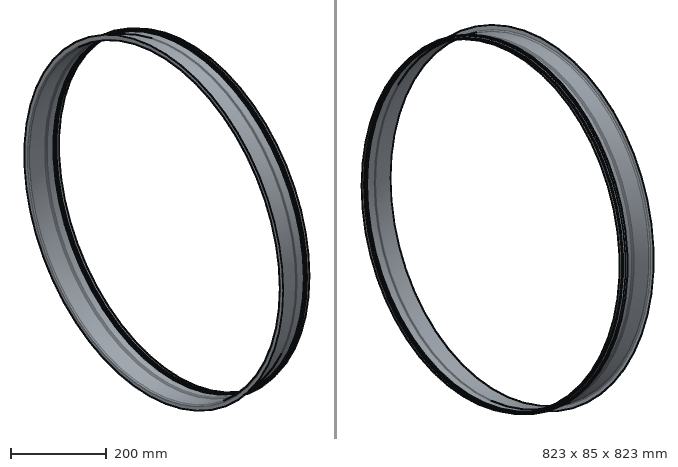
import cadquery as cq

flange_diameter = 823.0
collar_length = 85.0

sheet = 0.5
flange_bend_radius = 2.5
body_radius = 798.0 / 2
spigot_radius = 795.0 / 2
step_start = 45.0
step_end = 50.0
hem_radius = 798.0 / 2
hem_start = 77.0

seal_start = 69.0
seal_band_radius = 797.5 / 2
lip_root_start = 72.0
lip_root_end = 75.0
lip_bend_radius = 804.0 / 2
lip_bend_depth = 72.0
lip_tip_radius = 809.0 / 2
lip_tip_depth = 67.5
lip_thickness = 1.2


def revolve_about_y(profile):
    """Turn a closed (radius, depth) profile about the Y axis, centred on the depth."""
    ring = profile.close().revolve(360, (0, 0, 0), (0, 1, 0))
    return ring.translate((0, -collar_length / 2, 0))


def make_collar():
    """Flange, wide tube, S-shaped step, narrow tube and rim folded back outwards."""
    flange_radius = flange_diameter / 2
    bore_radius = spigot_radius - sheet
    inner_body_radius = body_radius - sheet
    bend_centre_radius = body_radius + flange_bend_radius
    bend_centre_depth = sheet + flange_bend_radius
    inner_bend_radius = flange_bend_radius + sheet
    diagonal = 0.5 ** 0.5
    fold_width = hem_radius - bore_radius
    fold_radius = fold_width / 2
    fold_centre_radius = bore_radius + fold_radius
    fold_depth = collar_length - fold_radius
    inner_fold_radius = fold_radius - sheet

    step_middle = (step_start + step_end) / 2
    outer_step_radius = (body_radius + spigot_radius) / 2
    inner_step_radius = outer_step_radius - sheet

    profile = (
        cq.Workplane("XY")
        .moveTo(flange_radius, 0)
        .lineTo(flange_radius, sheet)
        .lineTo(bend_centre_radius, sheet)
        .threePointArc(
            (bend_centre_radius - flange_bend_radius * diagonal,
             bend_centre_depth - flange_bend_radius * diagonal),
            (body_radius, bend_centre_depth),
        )
        .lineTo(body_radius, step_start)
        .tangentArcPoint((outer_step_radius, step_middle), relative=False)
        .tangentArcPoint((spigot_radius, step_end), relative=False)
        .lineTo(spigot_radius, fold_depth)
        .threePointArc(
            (fold_centre_radius, fold_depth + inner_fold_radius),
            (hem_radius - sheet, fold_depth),
        )
        .lineTo(hem_radius - sheet, hem_start)
        .lineTo(hem_radius, hem_start)
        .lineTo(hem_radius, fold_depth)
        .threePointArc((fold_centre_radius, collar_length), (bore_radius, fold_depth))
        .lineTo(bore_radius, step_end)
        .tangentArcPoint((inner_step_radius, step_middle), relative=False)
        .tangentArcPoint((inner_body_radius, step_start), relative=False)
        .lineTo(inner_body_radius, bend_centre_depth)
        .threePointArc(
            (bend_centre_radius - inner_bend_radius * diagonal,
             bend_centre_depth - inner_bend_radius * diagonal),
            (bend_centre_radius, 0),
        )
    )
    return revolve_about_y(profile)


def make_seal():
    """Band around the narrow tube with one lip swept out and back towards the flange."""
    profile = (
        cq.Workplane("XY")
        .moveTo(spigot_radius, seal_start)
        .lineTo(seal_band_radius, seal_start)
        .lineTo(seal_band_radius, lip_root_start)
        .lineTo(lip_bend_radius, lip_bend_depth)
        .lineTo(lip_tip_radius - lip_thickness, lip_tip_depth)
        .lineTo(lip_tip_radius, lip_tip_depth)
        .lineTo(lip_bend_radius + lip_thickness, lip_bend_depth + lip_thickness)
        .lineTo(seal_band_radius, lip_root_end)
        .lineTo(seal_band_radius, hem_start)
        .lineTo(spigot_radius, hem_start)
    )
    return revolve_about_y(profile)


collar = make_collar()
seal = make_seal()

result = cq.Compound.makeCompound([collar.val(), seal.val()])